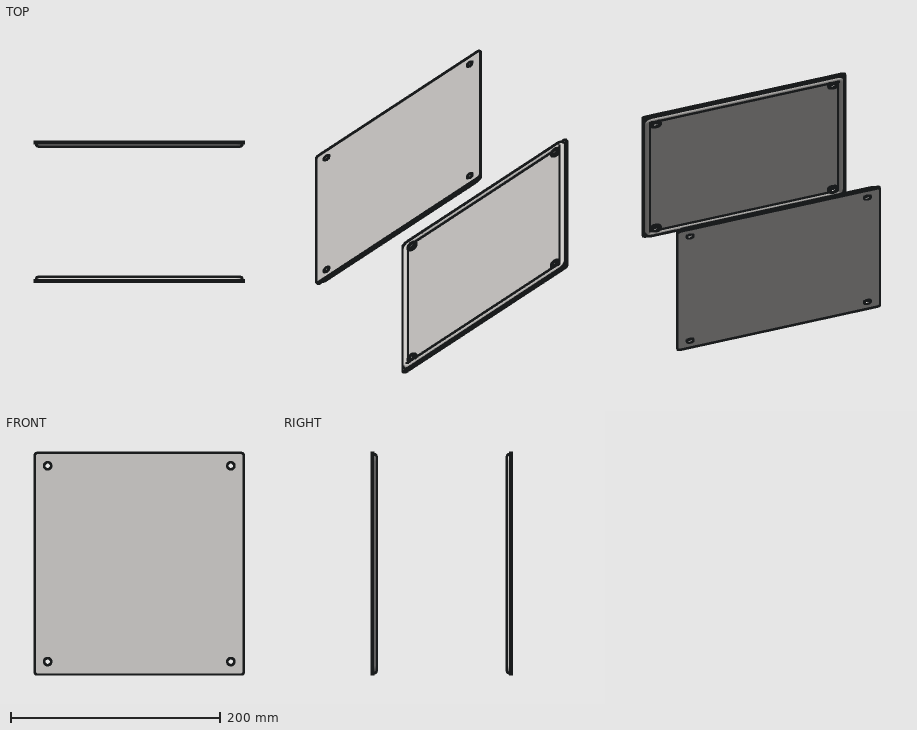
import cadquery as cq

width = 200.0
depth = 134.0
height = 212.0

plate_thickness = 2.0
plate_corner_radius = 3.0

bead_radius = 3.0
bead_inset = 4.2
bead_corner_radius = 4.0

hole_diameter = 6.5
hole_inset = 12.5
boss_diameter = 9.8
boss_height = 1.5

hole_places = [
    (side * (width / 2 - hole_inset), level * (height / 2 - hole_inset))
    for side in (-1, 1)
    for level in (-1, 1)
]


def make_plate():
    """Upright plate with its outer face on Y = 0 and its inner face towards +Y."""
    plate = cq.Workplane("XZ").rect(width, height).extrude(-plate_thickness)
    return plate.edges("|Y").fillet(plate_corner_radius)


def make_bead():
    """Half disc standing on the inner face and swept around a frame with rounded corners."""
    frame_width = width - 2 * bead_inset
    frame_height = height - 2 * bead_inset
    frame = (
        cq.Workplane("XZ", origin=(0, plate_thickness, 0))
        .rect(frame_width, frame_height)
        .extrude(-bead_radius)
        .edges("|Y")
        .fillet(bead_corner_radius)
    )
    centreline = frame.faces("<Y").wires().val()
    half_disc = (
        cq.Workplane("YZ", origin=(0, plate_thickness, frame_height / 2))
        .moveTo(0, -bead_radius)
        .threePointArc((bead_radius, 0), (0, bead_radius))
        .close()
    )
    return half_disc.sweep(cq.Workplane(centreline), transition="round")


def make_bosses():
    """Low round pad around each screw hole on the inner face."""
    inner_face = cq.Workplane("XZ", origin=(0, plate_thickness, 0))
    return inner_face.pushPoints(hole_places).circle(boss_diameter / 2).extrude(-boss_height)


def make_holes():
    """Screw hole cutters, through plate and boss."""
    cutters = cq.Workplane("XZ").pushPoints(hole_places).circle(hole_diameter / 2)
    return cutters.extrude(-(plate_thickness + boss_height))


def make_panel():
    """Panel with its outer face on Y = 0."""
    return make_plate().union(make_bead()).union(make_bosses()).cut(make_holes())


front_panel = make_panel().translate((0, -depth / 2, 0))
back_panel = front_panel.rotate((0, 0, 0), (0, 0, 1), 180)

result = cq.Compound.makeCompound([front_panel.val(), back_panel.val()])